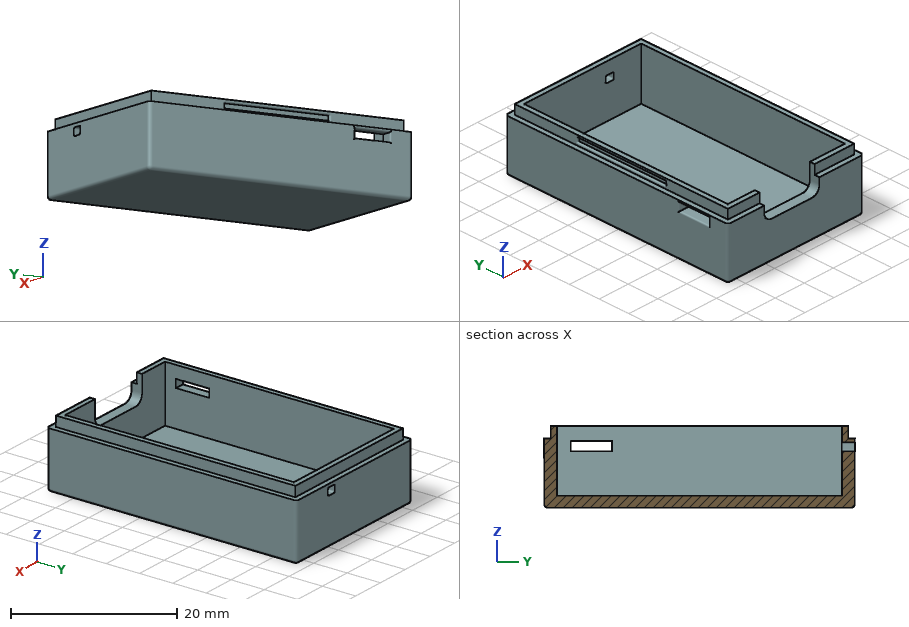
import cadquery as cq

body_width = 23.4
body_length = 37.5
total_height = 9.9
lip_height = 1.5
body_height = total_height - lip_height
corner_radius = 0.5
bottom_edge_radius = 0.49

ledge_width = 0.8
lip_thickness = 0.8
wall_thickness = ledge_width + lip_thickness
floor_thickness = 1.5

notch_width = 9.5
notch_center_x = -0.7
notch_bottom_z = 6.05
notch_corner_radius = 1.3

rim_radius = 0.22

groove_length = 14.92
groove_height = 0.66
groove_center_y = 0
groove_center_z = body_height + 0.73
groove_depth = 0.4
groove_corner_radius = 0.1

port_length = 4.96
port_height = 1.2
port_center_y = -13.03
port_top_gap = 0.35
port_center_z = body_height - port_top_gap - port_height / 2

hole_width = 1.4
hole_height = 1.08
hole_center_x = 4.68
hole_center_z = 7.38
hole_corner_radius = 0.22

wall_face_x = -body_width / 2
lip_face_x = wall_face_x + ledge_width


def centered_block(width, length, bottom_z, top_z):
    """Block centered on the Z axis between two heights."""
    return cq.Workplane("XY", origin=(0, 0, bottom_z)).rect(width, length).extrude(top_z - bottom_z)


def make_tray():
    """Open tray with rounded outside edges and a lip set back from the walls."""
    body = centered_block(body_width, body_length, 0, body_height)
    body = body.edges("|Z").fillet(corner_radius)
    body = body.faces("<Z").edges().fillet(bottom_edge_radius)
    lip = centered_block(
        body_width - 2 * ledge_width,
        body_length - 2 * ledge_width,
        floor_thickness,
        total_height,
    )
    cavity = centered_block(
        body_width - 2 * wall_thickness,
        body_length - 2 * wall_thickness,
        floor_thickness,
        total_height,
    )
    return body.union(lip).cut(cavity)


def make_notch():
    """Cutter for the open-topped notch; its upper half lies above the lip."""
    cutter_height = 2 * (total_height - notch_bottom_z)
    wall_inside_y = wall_thickness - body_length / 2
    return (
        cq.Workplane("XZ", origin=(notch_center_x, wall_inside_y, total_height))
        .rect(notch_width, cutter_height)
        .extrude(wall_thickness)
        .edges("|Y")
        .fillet(notch_corner_radius)
    )


def make_hole():
    """Cutter for the small hole through the back wall."""
    return (
        cq.Workplane("XZ", origin=(hole_center_x, body_length / 2, hole_center_z))
        .rect(hole_width, hole_height)
        .extrude(wall_thickness)
        .edges("|Y")
        .fillet(hole_corner_radius)
    )


def make_side_cutter(face_x, center_y, center_z, length, height, depth):
    """Block reaching inward from a face on the left side."""
    return (
        cq.Workplane("YZ", origin=(face_x, center_y, center_z))
        .rect(length, height)
        .extrude(depth)
    )


def round_rim(part, face_x, center_y, center_z, length, height):
    """Round the sharp rim of an opening in a face on the left side."""
    margin = 0.05
    half_length = length / 2 + margin
    half_height = height / 2 + margin
    rim = cq.selectors.BoxSelector(
        (face_x - margin, center_y - half_length, center_z - half_height),
        (face_x + margin, center_y + half_length, center_z + half_height),
    )
    return part.edges(rim).fillet(rim_radius)


def cut_groove(part):
    """Blind groove in the lip with rounded corners and a rounded rim."""
    placement = (lip_face_x, groove_center_y, groove_center_z, groove_length, groove_height)
    cutter = make_side_cutter(*placement, groove_depth)
    cutter = cutter.edges("|X").fillet(groove_corner_radius)
    return round_rim(part.cut(cutter), *placement)


def cut_port(part):
    """Square-cornered port through the wall with a rounded rim."""
    placement = (wall_face_x, port_center_y, port_center_z, port_length, port_height)
    cutter = make_side_cutter(*placement, wall_thickness)
    return round_rim(part.cut(cutter), *placement)


tray = make_tray().cut(make_notch()).cut(make_hole())
result = cut_port(cut_groove(tray))